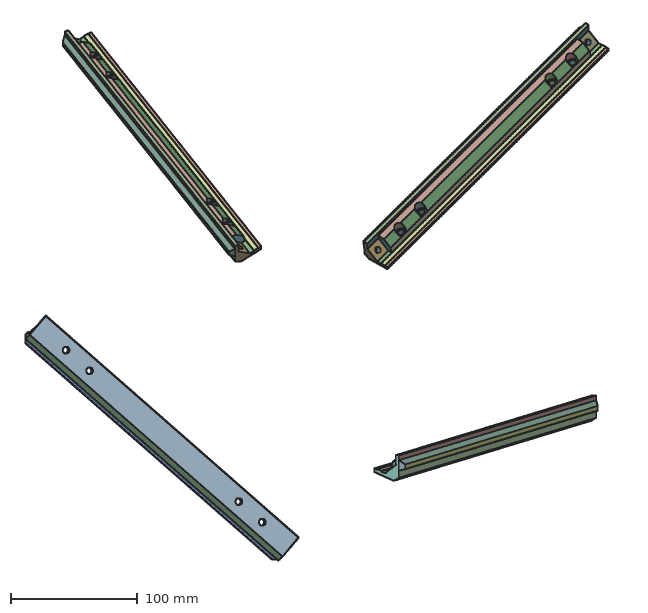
import cadquery as cq
import math

length = 267.5
depth = 27.8
height = 21.1

plate_front = 3.7
plate_back = 7.0
plate_foot = 3.2
plate_inner_foot = 13.0

keel_y = 8.8
lip_tilt = 14.0
lip_slope = math.tan(math.radians(lip_tilt))
rim_thickness = 3.0
rim_step_y = 25.2
lip_thickness = 3.5
lip_step_y = 21.1
floor_thickness = 3.0

seat_foot_y = 17.5

nose_root_top = 17.5
nose_tip_top = 14.0
nose_tip_bottom = 10.0
nose_root_bottom = 8.8
nose_end_inset = 3.2

block_end_gap = 13.5
block_top = 17.0
block_back_y = 21.0
block_back_rise = 5.5
block_ridge_y = 12.5

bolt_diameter = 5.4
bolt_head_diameter = 8.5
bolt_exit_y = 18.5
bolt_floor_height = 9.0
bolt_end_distance = 30.0
bolt_pitch = 25.0
cut_length = 32.0

pin_diameter = 4.8
pin_depth = 6.7
pin_end_distance = 6.7


def underside(y):
    """Height of the lip's underside at y."""
    return (y - keel_y) * lip_slope


def floor_top(y):
    """Height of the floor in front of the lip step at y."""
    return underside(y) + floor_thickness


def extrude_along_x(points, size):
    """Extrude a (Y, Z) outline along X, centred on X = 0."""
    return cq.Workplane("YZ").polyline(points).close().extrude(size / 2, both=True)


def make_rail():
    return extrude_along_x(
        [
            (keel_y, 0),
            (depth, underside(depth)),
            (depth, underside(depth) + rim_thickness),
            (rim_step_y, underside(rim_step_y) + rim_thickness),
            (rim_step_y, underside(rim_step_y) + lip_thickness),
            (lip_step_y, underside(lip_step_y) + lip_thickness),
            (lip_step_y, floor_top(lip_step_y)),
            (seat_foot_y, floor_top(seat_foot_y)),
            (plate_back, plate_inner_foot),
            (plate_back, height),
            (plate_front, height),
            (plate_front, plate_foot),
        ],
        length,
    )


def make_nose():
    nose = extrude_along_x(
        [
            (plate_front, nose_root_bottom),
            (plate_front, nose_root_top),
            (0, nose_tip_top),
            (0, nose_tip_bottom),
        ],
        length,
    )
    half = length / 2
    mitred_plan = (
        cq.Workplane("XY")
        .polyline(
            [
                (-half, plate_front),
                (nose_end_inset - half, 0),
                (half - nose_end_inset, 0),
                (half, plate_front),
            ]
        )
        .close()
        .extrude(height)
    )
    return nose.intersect(mitred_plan)


def make_block():
    """Raised block; its outline reaches into the rail below so that the two fuse."""
    ridge_back_y = block_back_y - block_back_rise * lip_slope
    return extrude_along_x(
        [
            (plate_back, block_top),
            (block_ridge_y, block_top),
            (ridge_back_y, floor_top(block_back_y) + block_back_rise),
            (block_back_y, floor_top(block_back_y)),
            (keel_y, floor_top(keel_y)),
            (plate_back, plate_inner_foot),
        ],
        length - 2 * block_end_gap,
    )


def cylinder(diameter, size, start, direction):
    solid = cq.Solid.makeCylinder(diameter / 2, size, cq.Vector(*start), cq.Vector(*direction))
    return cq.Workplane(solid)


def make_bolt_hole(x):
    tilt = math.radians(lip_tilt)
    axis = (0, -math.sin(tilt), math.cos(tilt))
    exit_point = cq.Vector(x, bolt_exit_y, underside(bolt_exit_y))
    floor_point = exit_point + cq.Vector(*axis) * bolt_floor_height
    below_point = exit_point - cq.Vector(*axis) * bolt_floor_height
    shank = cylinder(bolt_diameter, cut_length, below_point.toTuple(), axis)
    head = cylinder(bolt_head_diameter, cut_length, floor_point.toTuple(), axis)
    return shank.union(head)


def make_pin_hole(x):
    seat_foot_z = floor_top(seat_foot_y)
    middle = (x, (plate_back + seat_foot_y) / 2, (plate_inner_foot + seat_foot_z) / 2)
    into_seat = (0, seat_foot_z - plate_inner_foot, plate_back - seat_foot_y)
    return cylinder(pin_diameter, pin_depth, middle, into_seat)


result = make_rail().union(make_nose()).union(make_block())

for side in (-1, 1):
    for end_distance in (bolt_end_distance, bolt_end_distance + bolt_pitch):
        result = result.cut(make_bolt_hole(side * (length / 2 - end_distance)))
    result = result.cut(make_pin_hole(side * (length / 2 - pin_end_distance)))